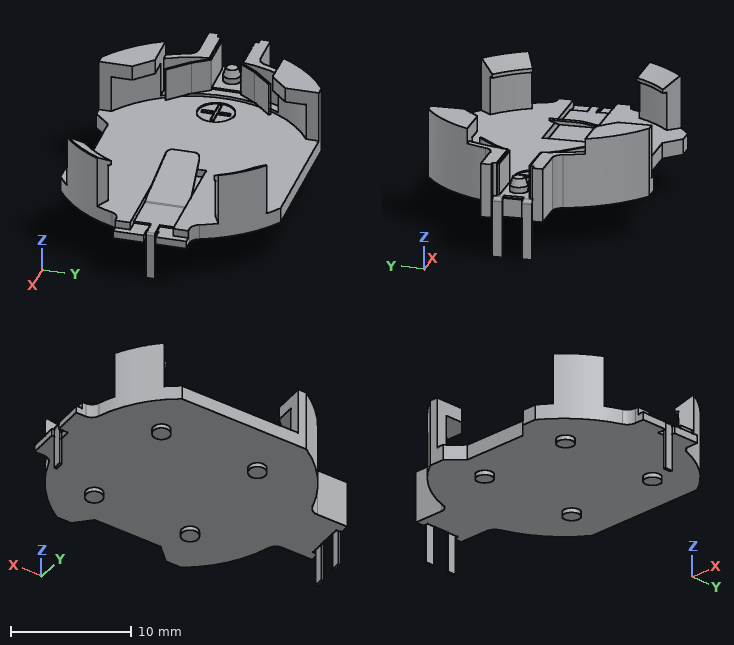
import cadquery as cq
import math


overall_length = 27.3
overall_height = 9.45
left_end = -14.77
right_end = left_end + overall_length
body_radius = 11.35
body_half_width = 9.53
clearance = 0.27
base_thickness = 1.4
wall_top = 4.7
body_top = 6.0
left_arm_half_width = 2.68
right_arm_half_width = 3.17
arm_fillet = 0.93
cell_radius = 10.0
spring_pocket_radius = 10.75

corner_inner_y = 5.08
corner_right_x = -5.38
corner_bevel = 1.53

clip_start_angle = 27.5
clip_end_angle = 49.5
clip_lip_radius = 9.66
clip_lip_top = 5.02
clip_crest_radius = 11.25

notch_half_width = 4.7
notch_centre_x = 0.03
notch_depth = 1.42

foot_radius = 0.8
foot_height = 0.4
foot_xs = (-4.2, 5.32)
foot_y = 5.1

mark_x = -7.6
mark_radius = 1.6
mark_depth = 0.1
mark_bar_length = 2.45
mark_bar_width = 0.27

sheet = 0.16
pin_bottom = body_top - overall_height
channel_half_width = 1.45
channel_floor = 1.65
channel_end_x = -10.8
end_recess_depth = 0.52
end_recess_half_width = 1.77
contact_start_x = left_end + 0.76
pin_thickness = 0.22
pin_offset = 0.08
pin_inner_y = 0.85
pin_width = 0.87
bend_radius = 0.33
flange_end_x = -10.65
flange_top = 4.55
spring_bend = (-9.7, 2.78)
spring_tip = (-8.05, 4.5)
post_x = -12.48
post_radius = 0.76
post_tip_radius = 0.52
post_shoulder = 2.32
post_top = 3.0

slot_start_x = 1.9
slot_end_x = right_end - 0.6
slot_half_width = 1.85
slot_floor = 0.7
plate_start_x = 7.4
plate_end_x = 10.78
tail_half_width = 0.38
tail_end_x = right_end - 0.16
tail_recess_half_width = 0.52
tail_recess_depth = 0.9
tongue_tip_x = 2.13
tongue_tip_z = 3.1
tongue_tip_half_width = 1.42
tongue_shoulder_x = 6.63
tongue_tip_fillet = 0.55
tongue_bend_radius = 0.38


def box(x0, x1, y0, y1, z0, z1):
    return cq.Workplane("XY").box(x1 - x0, y1 - y0, z1 - z0, centered=False).translate((x0, y0, z0))


def cylinder(radius, z0, z1, x=0, y=0):
    return cq.Workplane("XY").circle(radius).extrude(z1 - z0).translate((x, y, z0))


def both_sides(shape):
    """Join a shape with its mirror image across the XZ plane."""
    return shape.union(shape.mirror("XZ"))


def footprint(height):
    """Flat-sided disc with a filleted arm at each end, extruded from z = 0."""
    half = body_half_width
    solid = cylinder(body_radius, 0, height).intersect(
        box(left_end, right_end, -half, half, 0, height))
    for end_x, arm_half in ((left_end, left_arm_half_width), (right_end, right_arm_half_width)):
        solid = solid.union(box(min(end_x, 0), max(end_x, 0), -arm_half, arm_half, 0, height))
    for side, arm_half in ((-1, left_arm_half_width), (1, right_arm_half_width)):
        root_x = side * math.sqrt(body_radius**2 - arm_half**2)
        roots = cq.selectors.BoxSelector(
            (root_x - clearance, -arm_half - clearance, -clearance),
            (root_x + clearance, arm_half + clearance, height + clearance))
        solid = solid.edges(roots).edges("|Z").fillet(arm_fillet)
    return solid


def base():
    plate = footprint(base_thickness)
    half = notch_half_width
    edge_notch = (
        cq.Workplane("XY")
        .polyline([(-half, 0), (-half + notch_depth, notch_depth),
                   (half - notch_depth, notch_depth), (half, 0)])
        .close()
        .extrude(base_thickness)
        .translate((notch_centre_x, -body_half_width, 0))
    )
    plate = plate.cut(edge_notch)
    for x in foot_xs:
        for y in (-foot_y, foot_y):
            plate = plate.union(cylinder(foot_radius, -foot_height, 0, x, y))
    return plate


def left_wall():
    """Wall around the cell, relieved between the corners for the spring arms."""
    wide = body_radius + clearance
    wall = footprint(wall_top).intersect(box(left_end, corner_right_x, -wide, wide, 0, wall_top))
    wall = wall.cut(cylinder(cell_radius, base_thickness, wall_top))
    spring_pocket = cylinder(spring_pocket_radius, channel_floor, wall_top).intersect(
        box(-wide, 0, -corner_inner_y, corner_inner_y, channel_floor, wall_top))
    channel = box(left_end, -cell_radius, -channel_half_width, channel_half_width,
                  channel_floor, wall_top)
    return wall.cut(spring_pocket.union(channel))


def corner_caps():
    """Bevelled caps that overhang the cell at the two left corners."""
    y0 = corner_inner_y
    cap = (
        cq.Workplane("XY", origin=(0, 0, wall_top))
        .polyline([(-body_radius, y0), (corner_right_x - corner_bevel, y0),
                   (corner_right_x, y0 + corner_bevel), (corner_right_x, body_radius),
                   (-body_radius, body_radius)])
        .close()
        .extrude(body_top - wall_top)
    )
    return both_sides(cap).intersect(footprint(body_top))


def snap_clips():
    """Upright clip with an inward lip and a sloped lead-in, revolved about Z."""
    outside = body_radius + clearance
    clip = (
        cq.Workplane("XZ")
        .polyline([(cell_radius, base_thickness), (outside, base_thickness), (outside, body_top),
                   (clip_crest_radius, body_top), (clip_lip_radius, clip_lip_top),
                   (clip_lip_radius, wall_top), (cell_radius, wall_top)])
        .close()
        .revolve(clip_end_angle - clip_start_angle, (0, 0, 0), (0, 1, 0))
        .rotate((0, 0, 0), (0, 0, 1), clip_start_angle)
    )
    return both_sides(clip).intersect(footprint(body_top))


def polarity_mark():
    """Cutter for a shallow round recess with a raised plus sign."""
    z0 = base_thickness - mark_depth
    recess = cylinder(mark_radius, z0, base_thickness, mark_x)
    for length, width in ((mark_bar_length, mark_bar_width), (mark_bar_width, mark_bar_length)):
        recess = recess.cut(box(mark_x - length / 2, mark_x + length / 2,
                                -width / 2, width / 2, z0, base_thickness))
    return recess


def pin_recess():
    """Cutter for the recess around the pins in the left end face."""
    return box(left_end, left_end + end_recess_depth,
               -end_recess_half_width, end_recess_half_width, 0, wall_top)


def right_slot():
    """Cutter for the tongue slot, the low end step and the tail recess."""
    slot = box(slot_start_x, slot_end_x, -slot_half_width, slot_half_width,
               slot_floor, base_thickness)
    step = box(slot_end_x, right_end, -right_arm_half_width, right_arm_half_width,
               slot_floor, base_thickness)
    tail_recess = box(right_end - tail_recess_depth, right_end,
                      -tail_recess_half_width, tail_recess_half_width, 0, base_thickness)
    return slot.union(step).union(tail_recess)


def bent_tail(outer_x, root_x, top, radius, width):
    """Strip running to outer_x, then bent down into a pin; centred on y = 0."""
    toward_root = math.copysign(1, root_x - outer_x)
    inner_x = outer_x + toward_root * pin_thickness
    tail = (
        cq.Workplane("XZ")
        .polyline([(outer_x, pin_bottom), (outer_x, top), (root_x, top),
                   (root_x, top - sheet), (inner_x, top - sheet), (inner_x, pin_bottom)])
        .close()
        .extrude(width / 2, both=True)
    )
    bend = cq.selectors.NearestToPointSelector((outer_x, 0, top))
    return tail.edges("|Y").edges(bend).fillet(radius)


def spring_strip(start, end):
    """Upright straight length of sheet between two points in plan."""
    length = math.dist(start, end)
    angle = math.degrees(math.atan2(end[1] - start[1], end[0] - start[0]))
    strip = box(0, length, -sheet / 2, sheet / 2, channel_floor, flange_top)
    return strip.rotate((0, 0, 0), (0, 0, 1), angle).translate((*start, 0))


def spring_arm():
    """Side flange that carries on into a splayed contact arm, with rounded bends."""
    flange_y = channel_half_width - sheet / 2
    path = [(contact_start_x, flange_y), (flange_end_x, flange_y), spring_bend, spring_tip]
    arm = spring_strip(path[0], path[1])
    for start, end in zip(path[1:], path[2:]):
        arm = arm.union(spring_strip(start, end))
        arm = arm.union(cylinder(sheet / 2, channel_floor, flange_top, *start))
    return arm


def left_contact():
    top = channel_floor + sheet
    floor_plate = box(contact_start_x, channel_end_x, -channel_half_width, channel_half_width,
                      channel_floor, top)
    pin = bent_tail(left_end + pin_offset, contact_start_x, top, bend_radius, pin_width)
    pin = pin.translate((0, pin_inner_y + pin_width / 2, 0))
    post = cylinder(post_radius, channel_floor, post_shoulder, post_x).union(
        cq.Workplane("XY", origin=(post_x, 0, post_shoulder))
        .circle(post_radius)
        .workplane(offset=post_top - post_shoulder)
        .circle(post_tip_radius)
        .loft())
    return floor_plate.union(both_sides(pin)).union(both_sides(spring_arm())).union(post)


def right_contact():
    """Slot plate with a raised, tapered tongue at one end and a pin at the other."""
    top = slot_floor + sheet
    tail = bent_tail(tail_end_x, plate_end_x, top, sheet, 2 * tail_half_width)

    bend = cq.selectors.NearestToPointSelector((plate_start_x, 0, top))
    strip = (
        cq.Workplane("XZ")
        .polyline([(plate_end_x, top), (plate_start_x, top), (tongue_tip_x, tongue_tip_z),
                   (tongue_tip_x, tongue_tip_z - sheet), (plate_start_x, slot_floor),
                   (plate_end_x, slot_floor)])
        .close()
        .extrude(slot_half_width, both=True)
        .edges("|Y")
        .edges(bend)
        .fillet(tongue_bend_radius)
    )
    outline = (
        cq.Workplane("XY")
        .polyline([(plate_end_x, -slot_half_width), (tongue_shoulder_x, -slot_half_width),
                   (tongue_tip_x, -tongue_tip_half_width), (tongue_tip_x, tongue_tip_half_width),
                   (tongue_shoulder_x, slot_half_width), (plate_end_x, slot_half_width)])
        .close()
        .extrude(tongue_tip_z)
        .edges("|Z and <X")
        .fillet(tongue_tip_fillet)
    )
    return strip.intersect(outline).union(tail)


body = base().union(left_wall()).union(corner_caps()).union(snap_clips())
body = body.cut(pin_recess()).cut(right_slot()).cut(polarity_mark())
result = body.union(left_contact()).union(right_contact())